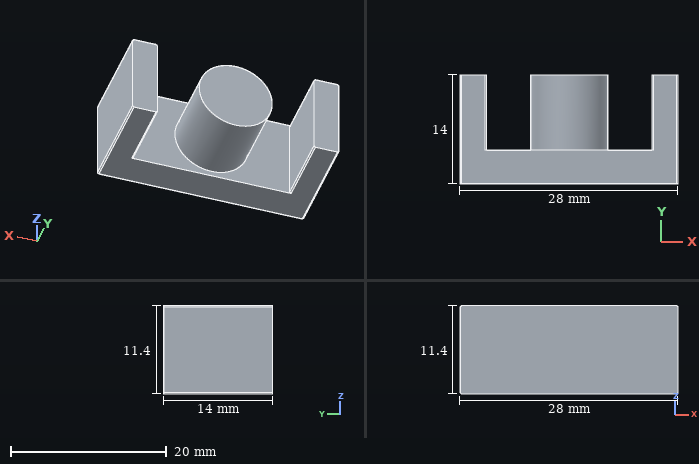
import cadquery as cq

length = 28.0
depth = 14.0
height = 11.4

back_thickness = 4.35
leg_thickness = 3.4
post_diameter = 9.9
edge_chamfer = 0.2

front_y = -depth / 2
back_inner_y = front_y + back_thickness
leg_length = depth - back_thickness
leg_center_x = (length - leg_thickness) / 2


def chamfered_bar(width, bar_depth, center_x, start_y):
    """Full-height bar running along +Y from start_y, its four Y edges chamfered."""
    return (
        cq.Workplane("XY")
        .box(width, bar_depth, height)
        .edges("|Y")
        .chamfer(edge_chamfer)
        .translate((center_x, start_y + bar_depth / 2, 0))
    )


back = chamfered_bar(length, back_thickness, 0, front_y)

post = (
    cq.Workplane("XZ", origin=(0, back_inner_y, 0))
    .circle(post_diameter / 2)
    .extrude(-leg_length)
)

result = back.union(post)

for side in (-1, 1):
    leg = chamfered_bar(leg_thickness, leg_length, side * leg_center_x, back_inner_y)
    result = result.union(leg)